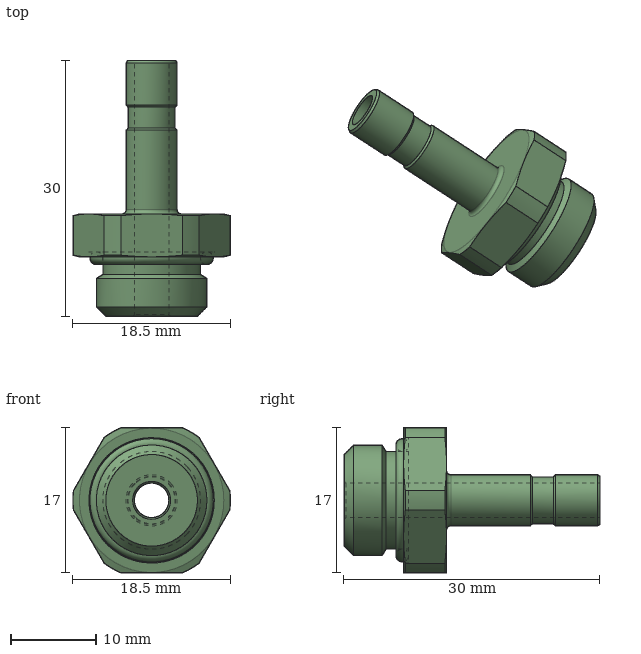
import cadquery as cq
import math

length = 30.0
thread_end = 4.45
neck_start = 4.92
hex_front = 6.95
hex_back = 12.0
groove_start = 22.05
groove_end = 24.5

thread_radius = 6.48
thread_chamfer = 1.1
neck_radius = 5.73
stem_radius = 3.0
groove_radius = 2.75
groove_bevel = stem_radius - groove_radius
tip_chamfer_radial = 0.18
tip_chamfer_axial = 0.3
stem_fillet = 0.5
bore_radius = 2.0
bore_chamfer = 0.2

across_flats = 17.0
hex_corner_radius = 9.25
hex_face_radius = 8.45
hex_chamfer_angle = 15.0

ring_cord_radius = 0.75
ring_center_radius = neck_radius + ring_cord_radius
ring_center_y = 6.8
recess_radius = 7.35
recess_floor = ring_center_y + ring_cord_radius

origin_y = length / 2


def revolve_profile(profile):
    """Revolve a closed (radius, axial) XY profile about the Y axis."""
    return profile.close().revolve(360, (0, 0, 0), (0, 1, 0))


def cylinder(radius, start, end):
    """Solid cylinder along +Y between two stations."""
    return cq.Workplane("XZ", origin=(0, start, 0)).circle(radius).extrude(start - end)


def make_threaded_end():
    """Chamfered threaded plug with its undercut neck."""
    return revolve_profile(
        cq.Workplane("XY")
        .lineTo(thread_radius - thread_chamfer, 0)
        .lineTo(thread_radius, thread_chamfer)
        .lineTo(thread_radius, thread_end)
        .lineTo(neck_radius, neck_start)
        .lineTo(neck_radius, recess_floor)
        .lineTo(0, recess_floor)
    )


def make_hexagon():
    """Hexagon with turned corners, conical faces and a front recess."""
    across_corners = across_flats / math.cos(math.radians(30))
    prism = (
        cq.Workplane("XZ", origin=(0, hex_front, 0))
        .polygon(6, across_corners)
        .extrude(hex_front - hex_back)
    )
    bevel = (hex_corner_radius - hex_face_radius) * math.tan(math.radians(hex_chamfer_angle))
    turned_envelope = revolve_profile(
        cq.Workplane("XY")
        .moveTo(0, hex_front)
        .lineTo(hex_face_radius, hex_front)
        .lineTo(hex_corner_radius, hex_front + bevel)
        .lineTo(hex_corner_radius, hex_back - bevel)
        .lineTo(hex_face_radius, hex_back)
        .lineTo(0, hex_back)
    )
    recess = cylinder(recess_radius, hex_front, recess_floor)
    return prism.intersect(turned_envelope).cut(recess)


def make_stem():
    """Plug-in stem with a root fillet, a retaining groove and a chamfered tip."""
    return revolve_profile(
        cq.Workplane("XY")
        .moveTo(0, hex_back)
        .lineTo(stem_radius + stem_fillet, hex_back)
        .radiusArc((stem_radius, hex_back + stem_fillet), stem_fillet)
        .lineTo(stem_radius, groove_start - groove_bevel)
        .lineTo(groove_radius, groove_start)
        .lineTo(groove_radius, groove_end)
        .lineTo(stem_radius, groove_end + groove_bevel)
        .lineTo(stem_radius, length - tip_chamfer_axial)
        .lineTo(stem_radius - tip_chamfer_radial, length)
        .lineTo(0, length)
    )


def make_bore():
    """Through bore with a countersunk threaded end."""
    countersink = revolve_profile(
        cq.Workplane("XY")
        .lineTo(bore_radius + bore_chamfer, 0)
        .lineTo(bore_radius, bore_chamfer)
        .lineTo(0, bore_chamfer)
    )
    return cylinder(bore_radius, 0, length).union(countersink)


def make_fitting():
    """One-piece fitting body."""
    solid = make_threaded_end().union(make_hexagon()).union(make_stem())
    return solid.cut(make_bore()).solids()


def make_sealing_ring():
    """O-ring seated around the neck, against the recess floor."""
    ring = cq.Solid.makeTorus(
        ring_center_radius, ring_cord_radius, cq.Vector(0, ring_center_y, 0), cq.Vector(0, 1, 0)
    )
    return cq.Workplane("XY").newObject([ring])


fitting = make_fitting().translate((0, -origin_y, 0))
sealing_ring = make_sealing_ring().translate((0, -origin_y, 0))
result = cq.Compound.makeCompound([fitting.val(), sealing_ring.val()])